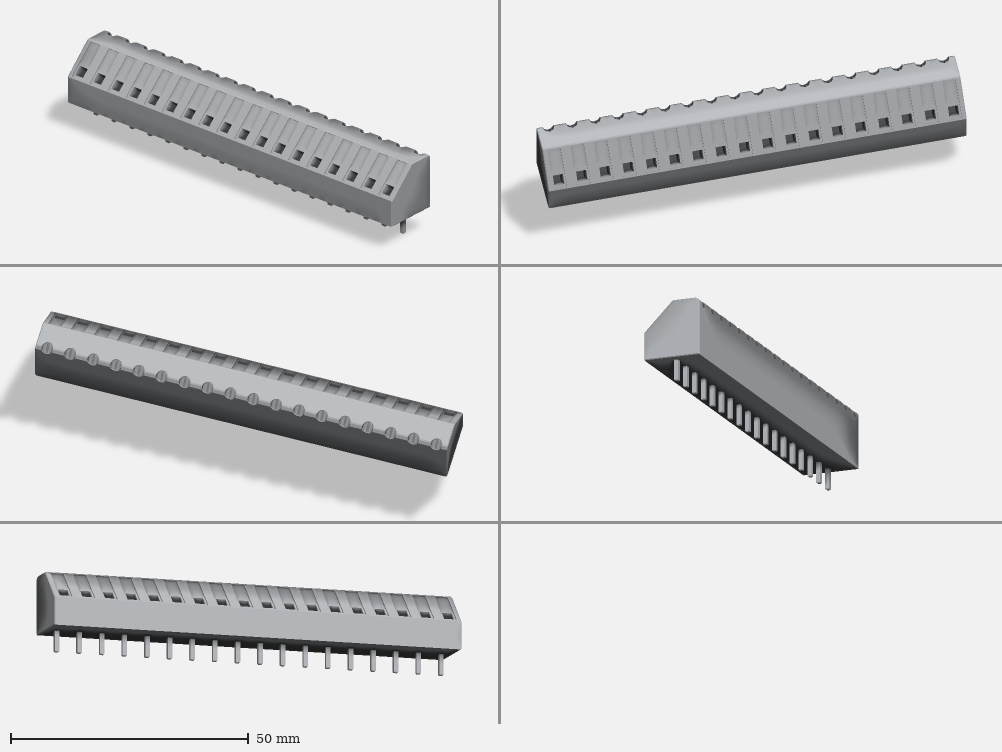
import cadquery as cq
import math

LENGTH = 90.0
POLES = 18
PITCH = LENGTH / POLES
DEPTH = 12.5
BODY_HEIGHT = 12.5
TOTAL_HEIGHT = 17.1
SLOPE_SIZE = 6.5
BACK_CHAMFER = 0.6
EDGE_BREAK = 0.2

RECESS_TOP_WIDTH = 2.8
RECESS_BOTTOM_WIDTH = 3.1
RECESS_DEPTH = 0.3
RECESS_MARGIN = 0.4

ENTRY_SIZE = 2.2
ENTRY_DEPTH = 5.4
ENTRY_DROP = 1.0

SCREW_HOLE_DIAMETER = 2.4
SCREW_HEAD_DIAMETER = 2.2
SCREW_SLOT_WIDTH = 0.45
SCREW_SLOT_DEPTH = 0.4
SCREW_HOLE_DEPTH = 1.35
SCREW_HEAD_HEIGHT = 0.5
SCREW_HEAD_ROOT = 0.2
BORE_CLEARANCE = 2.7

PIN_WIDTH = 1.0
PIN_THICKNESS = 0.9
PIN_LENGTH = TOTAL_HEIGHT - BODY_HEIGHT
PIN_TIP_CHAMFER = 0.2
PIN_Y = 6.5
PIN_ROOT = 0.9

POLE_XS = [(pole + 0.5) * PITCH for pole in range(POLES)]
HALF_DIAGONAL = math.sqrt(0.5)


def bevel_plane(x):
    """Plane on the bevel at a pole: local Y climbs the bevel, Z points outward."""
    middle = (x, SLOPE_SIZE / 2, BODY_HEIGHT - SLOPE_SIZE / 2)
    return cq.Workplane(cq.Plane(origin=middle, xDir=(1, 0, 0), normal=(0, -1, 1)))


def chamfer_plane(x):
    """Plane on the back chamfer at a pole: Z points outward, up and to the back."""
    middle = (x, DEPTH - BACK_CHAMFER / 2, BODY_HEIGHT - BACK_CHAMFER / 2)
    return cq.Workplane(cq.Plane(origin=middle, xDir=(1, 0, 0), normal=(0, 1, 1)))


def make_housing():
    profile = [
        (0, 0),
        (DEPTH, 0),
        (DEPTH, BODY_HEIGHT - BACK_CHAMFER),
        (DEPTH - BACK_CHAMFER, BODY_HEIGHT),
        (SLOPE_SIZE, BODY_HEIGHT),
        (0, BODY_HEIGHT - SLOPE_SIZE),
    ]
    return cq.Workplane("YZ").polyline(profile).close().extrude(LENGTH)


def make_recess(x):
    half_length = SLOPE_SIZE * HALF_DIAGONAL - RECESS_MARGIN
    outline = [
        (-RECESS_BOTTOM_WIDTH / 2, -half_length),
        (RECESS_BOTTOM_WIDTH / 2, -half_length),
        (RECESS_TOP_WIDTH / 2, half_length),
        (-RECESS_TOP_WIDTH / 2, half_length),
    ]
    return bevel_plane(x).polyline(outline).close().extrude(-RECESS_DEPTH)


def make_wire_entry(x):
    center_y = ENTRY_DROP + ENTRY_SIZE / 2 - SLOPE_SIZE * HALF_DIAGONAL
    return bevel_plane(x).center(0, center_y).rect(ENTRY_SIZE, ENTRY_SIZE).extrude(-ENTRY_DEPTH)


def make_screw_bore(x):
    floor = chamfer_plane(x).workplane(offset=-SCREW_HOLE_DEPTH)
    return floor.circle(SCREW_HOLE_DIAMETER / 2).extrude(SCREW_HOLE_DEPTH + BORE_CLEARANCE)


def make_screw_head(x):
    """Slotted head that stands on the floor of the screw bore."""
    floor = chamfer_plane(x).workplane(offset=-SCREW_HOLE_DEPTH - SCREW_HEAD_ROOT)
    head = floor.circle(SCREW_HEAD_DIAMETER / 2).extrude(SCREW_HEAD_ROOT + SCREW_HEAD_HEIGHT)
    slot = (
        chamfer_plane(x)
        .workplane(offset=SCREW_HEAD_HEIGHT - SCREW_HOLE_DEPTH)
        .rect(SCREW_SLOT_WIDTH, SCREW_HEAD_DIAMETER)
        .extrude(-SCREW_SLOT_DEPTH)
    )
    return head.cut(slot)


def make_pin(x):
    return (
        cq.Workplane("XY", origin=(x, PIN_Y, PIN_ROOT))
        .rect(PIN_WIDTH, PIN_THICKNESS)
        .extrude(-PIN_ROOT - PIN_LENGTH)
        .faces("<Z")
        .chamfer(PIN_TIP_CHAMFER)
    )


def at_every_pole(make_feature):
    """One compound holding a copy of the feature at each pole."""
    return cq.Compound.makeCompound([make_feature(x).val() for x in POLE_XS])


housing = make_housing().cut(at_every_pole(make_screw_bore))
housing = housing.faces(">Z or <X or >X").edges().chamfer(EDGE_BREAK)
housing = housing.cut(at_every_pole(make_recess))
housing = housing.cut(at_every_pole(make_wire_entry))
result = housing.union(at_every_pole(make_screw_head)).union(at_every_pole(make_pin))